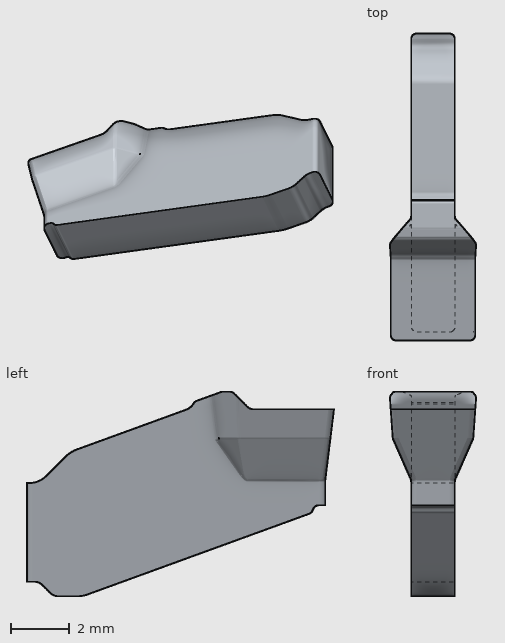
import cadquery as cq
import math


def tan_deg(angle):
    return math.tan(math.radians(angle))


length = 10.5
height = 7.0
body_width = 1.5
half_body = body_width / 2

clamp_angle = 20.0
corner_angle = 45.0
facet_angle = 31.0
step_angle = 65.0
relief_angle = 7.0
side_angle = 4.0
shoulder_angle = 50.0

edge_z = 6.4
neck_z = 3.97
tip_bottom_z = 3.11
neck_y = (edge_z - neck_z) * tan_deg(relief_angle)
ramp_start_y = 2.88
crest_end_y = 3.835
upper_step = (4.80, 6.60)
upper_slope = (5.07, 6.38)
rear_facet = (9.0, 4.92)
lower_step = (0.74, 2.93)
lower_slope_end_y = 8.6
rear_bottom_z = 0.5
rear_top_z = 3.88
rear_bottom_bevel_y = 9.585
rear_top_bevel_y = 10.08

break_z = 5.4
edge_half_width = 1.45
shoulder_top_y = 4.2
shoulder_neck_y = 3.0
head_front_overhang = 1.0
head_root_half_width = 0.5
blank_width = 4.0
tolerance = 0.01

edge_radius = 0.2
ramp_radius = 0.3
step_root_radius = 0.5
slope_end_radius = 1.0
bevel_root_radius = 0.8
bevel_tip_radius = 0.4


def crossing(point_a, slope_a, point_b, slope_b):
    """Crossing of two lines in the YZ plane, each given by a point and dZ/dY."""
    y = (point_b[1] - point_a[1] + slope_a * point_a[0] - slope_b * point_b[0]) / (slope_a - slope_b)
    return (y, point_a[1] + slope_a * (y - point_a[0]))


def rounded_outline(workplane, corners):
    """Closed outline through (point, radius) corners; radius 0 keeps a sharp corner."""
    def toward(start, end, distance):
        span = math.dist(start, end)
        return tuple(s + (e - s) * distance / span for s, e in zip(start, end))

    outline = workplane.moveTo(*corners[0][0])
    for index in range(1, len(corners)):
        before = corners[index - 1][0]
        corner, radius = corners[index]
        after = corners[(index + 1) % len(corners)][0]
        if radius == 0:
            outline = outline.lineTo(*corner)
            continue
        to_before = math.atan2(before[1] - corner[1], before[0] - corner[0])
        to_after = math.atan2(after[1] - corner[1], after[0] - corner[0])
        half_angle = math.acos(math.cos(to_before - to_after)) / 2
        tangent_length = radius / math.tan(half_angle)
        arc_start = toward(corner, before, tangent_length)
        arc_end = toward(corner, after, tangent_length)
        bisector_end = tuple((s + e) / 2 for s, e in zip(arc_start, arc_end))
        arc_middle = toward(corner, bisector_end, radius / math.sin(half_angle) - radius)
        outline = outline.lineTo(*arc_start).threePointArc(arc_middle, arc_end)
    return outline.close()


def profile_prism():
    """Finished side profile, wider than the part, symmetric about X = 0."""
    clamp_slope = tan_deg(clamp_angle)
    step_slope = tan_deg(step_angle)
    facet_slope = tan_deg(facet_angle)
    bevel_slope = tan_deg(corner_angle)
    crest_start_y = ramp_start_y + (height - edge_z) / bevel_slope
    crest_end = (crest_end_y, height)
    lower_slope_end = (lower_slope_end_y, 0)
    rear_top_bevel = (rear_top_bevel_y, rear_top_z)
    rear_bottom_bevel = (rear_bottom_bevel_y, 0)
    corners = [
        ((0, edge_z), 0),
        ((ramp_start_y, edge_z), ramp_radius),
        ((crest_start_y, height), edge_radius),
        (crest_end, edge_radius),
        (crossing(crest_end, -clamp_slope, upper_step, -step_slope), edge_radius),
        (crossing(upper_step, -step_slope, upper_slope, -clamp_slope), step_root_radius),
        (crossing(upper_slope, -clamp_slope, rear_facet, -facet_slope), slope_end_radius),
        (crossing(rear_facet, -facet_slope, rear_top_bevel, -bevel_slope), slope_end_radius),
        (rear_top_bevel, bevel_root_radius),
        ((length, rear_top_z), 0),
        ((length, rear_bottom_z), 0),
        ((rear_bottom_bevel_y + rear_bottom_z / bevel_slope, rear_bottom_z), bevel_tip_radius),
        (rear_bottom_bevel, bevel_tip_radius),
        (lower_slope_end, slope_end_radius),
        (crossing(lower_slope_end, -clamp_slope, lower_step, -step_slope), edge_radius),
        (crossing(lower_step, -step_slope, (0, tip_bottom_z), 0), edge_radius),
        ((neck_y, tip_bottom_z), 0),
        ((neck_y, neck_z), 0),
    ]
    return rounded_outline(cq.Workplane("YZ"), corners).extrude(blank_width / 2, both=True)


def head_section(z, half_width, shoulder_y):
    """Plan section of the head; the shoulder passes the body side at shoulder_y."""
    shoulder_slope = tan_deg(shoulder_angle)
    wide_y = shoulder_y - (half_width - half_body) * shoulder_slope
    root_y = shoulder_y + (half_body - head_root_half_width) * shoulder_slope
    points = [
        (-half_width, -head_front_overhang),
        (half_width, -head_front_overhang),
        (half_width, wide_y),
        (head_root_half_width, root_y),
        (-head_root_half_width, root_y),
        (-half_width, wide_y),
    ]
    return cq.Wire.makePolygon([cq.Vector(x, y, z) for x, y in points], close=True)


def front_clearance_prism(width):
    """Plain block with the two front faces: clearance above the neck, upright below it."""
    points = [
        ((edge_z - height) * tan_deg(relief_angle), height),
        (neck_y, neck_z),
        (neck_y, 0),
        (length, 0),
        (length, height),
    ]
    return cq.Workplane("YZ").polyline(points).close().extrude(width / 2, both=True)


def cutting_head():
    """Head that narrows downward in two stages and runs into the body at the neck."""
    top_half_width = edge_half_width + (height - edge_z) * tan_deg(side_angle)
    break_half_width = edge_half_width - (edge_z - break_z) * tan_deg(side_angle)
    shoulder_break_y = shoulder_top_y - (height - break_z) * tan_deg(relief_angle)
    top = head_section(height, top_half_width, shoulder_top_y)
    middle = head_section(break_z, break_half_width, shoulder_break_y)
    bottom = head_section(neck_z, half_body, shoulder_neck_y)
    upper = cq.Solid.makeLoft([middle, top], True)
    lower = cq.Solid.makeLoft([bottom, middle], True)
    head = cq.Workplane(upper).union(cq.Workplane(lower))
    return head.intersect(front_clearance_prism(blank_width))


def is_rounded(edge):
    """True for edges between side, front and rear faces of the blank; not its top or bottom."""
    start = edge.startPoint()
    end = edge.endPoint()
    lies_in_top = min(start.z, end.z) > height - tolerance
    lies_in_bottom = max(start.z, end.z) < tolerance
    crosses_middle = start.x * end.x < 0
    return not (lies_in_top or lies_in_bottom or crosses_middle)


def rounded_blank():
    """Body and head with their side edges and the joint between them rounded."""
    blank = front_clearance_prism(body_width).union(cutting_head()).clean()
    edges = [edge for edge in blank.edges().vals() if is_rounded(edge)]
    return blank.newObject(edges).fillet(edge_radius)


result = rounded_blank().intersect(profile_prism())